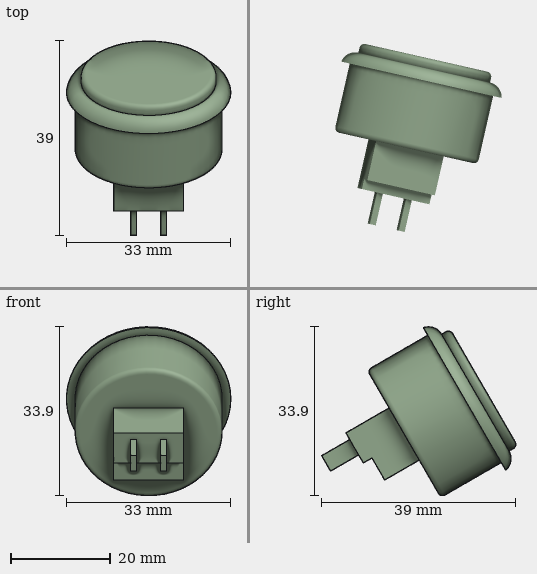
import cadquery as cq
import math


TILT_ABOUT_X = -60.0

FLANGE_DIAMETER = 33.0
FLANGE_HEIGHT = 2.5
FLANGE_ROUND_RADIUS = 3.0

BARREL_DIAMETER = 29.5
BARREL_LENGTH = 14.0
BARREL_ROUND = 1.0

CAP_RISE = 2.0
CAP_ROUND = 1.0

BLOCK_WIDTH = 14.0
BLOCK_DEPTH = 12.1
BLOCK_NEAR_Y = -6.0
BLOCK_LENGTH = 10.0
STEP_DEPTH = 5.1
STEP_LENGTH = 2.0

TERMINAL_SPACING = 6.0
TERMINAL_THICKNESS = 1.2
TERMINAL_WIDTH = 3.6
TERMINAL_LENGTH = 6.5
TERMINAL_EDGE_GAP = 1.53

flange_radius = FLANGE_DIAMETER / 2
barrel_radius = BARREL_DIAMETER / 2
round_center_z = FLANGE_HEIGHT - FLANGE_ROUND_RADIUS
cap_radius = flange_radius - math.sqrt(FLANGE_ROUND_RADIUS**2 - round_center_z**2)
cap_top_z = FLANGE_HEIGHT + CAP_RISE
barrel_end_z = -BARREL_LENGTH
block_end_z = barrel_end_z - BLOCK_LENGTH
block_far_y = BLOCK_NEAR_Y + BLOCK_DEPTH


def make_flange():
    """Disc with a round running from its rim up to the foot of the cap."""
    rim_angle = math.asin(-round_center_z / FLANGE_ROUND_RADIUS)
    middle_angle = (rim_angle + math.pi / 2) / 2
    arc_middle = (
        cap_radius + FLANGE_ROUND_RADIUS * math.cos(middle_angle),
        round_center_z + FLANGE_ROUND_RADIUS * math.sin(middle_angle),
    )
    profile = (
        cq.Workplane("XZ")
        .lineTo(flange_radius, 0)
        .threePointArc(arc_middle, (cap_radius, FLANGE_HEIGHT))
        .lineTo(0, FLANGE_HEIGHT)
        .close()
    )
    return profile.revolve(360, (0, 0, 0), (0, 1, 0))


def make_cap():
    """Plunger cap with a rounded top edge."""
    cap = cq.Workplane("XY").circle(cap_radius).extrude(cap_top_z)
    return cap.faces(">Z").edges().fillet(CAP_ROUND)


def make_barrel():
    """Cylindrical barrel with a rounded lower edge."""
    barrel = cq.Workplane("XY").circle(barrel_radius).extrude(barrel_end_z)
    return barrel.faces("<Z").edges().fillet(BARREL_ROUND)


def make_switch_block():
    """Rectangular block whose +Y side stops short in a step."""
    step_y = block_far_y - STEP_DEPTH
    step_z = block_end_z + STEP_LENGTH
    outline = [
        (BLOCK_NEAR_Y, barrel_end_z),
        (block_far_y, barrel_end_z),
        (block_far_y, step_z),
        (step_y, step_z),
        (step_y, block_end_z),
        (BLOCK_NEAR_Y, block_end_z),
    ]
    return cq.Workplane("YZ").polyline(outline).close().extrude(BLOCK_WIDTH / 2, both=True)


def make_terminals():
    """Two flat blades standing out of the end of the switch block."""
    blade_center_y = BLOCK_NEAR_Y + TERMINAL_EDGE_GAP + TERMINAL_WIDTH / 2
    half_spacing = TERMINAL_SPACING / 2
    return (
        cq.Workplane("XY", origin=(0, 0, block_end_z))
        .pushPoints([(side * half_spacing, blade_center_y) for side in (-1, 1)])
        .rect(TERMINAL_THICKNESS, TERMINAL_WIDTH)
        .extrude(-TERMINAL_LENGTH)
    )


upright_button = (
    make_barrel()
    .union(make_flange())
    .union(make_cap())
    .union(make_switch_block())
    .union(make_terminals())
)

result = upright_button.rotate((0, 0, 0), (1, 0, 0), TILT_ABOUT_X)